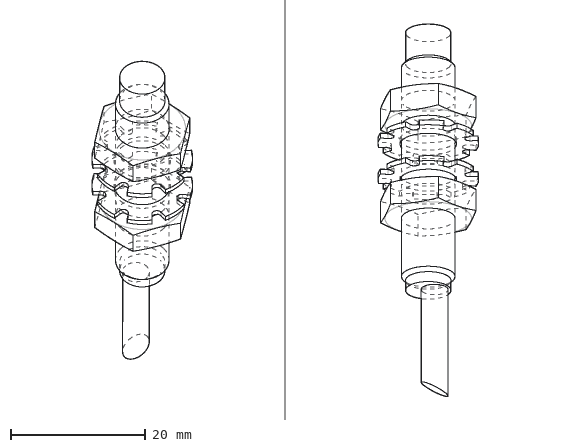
import cadquery as cq
import math

BARREL_DIAMETER = 8.0
END_DIAMETER = 6.77
NOSE_LENGTH = 5.0
TAIL_LENGTH = 1.6
SENSOR_LENGTH = 41.6
CABLE_DIAMETER = 4.0
CABLE_OFFSET = 1.0
CABLE_LENGTH = 17.25
CABLE_CUT_ANGLE = 30.0

NUT_ACROSS_FLATS = 13.0
NUT_TURN_ANGLE = 30.0
NUT_HEIGHT = 4.0
NUT_FACE_DIAMETER = 12.9
NUT_CHAMFER_ANGLE = 15.0
NUT_BOTTOMS = (11.6, 26.6)

WASHER_DIAMETER = 15.0
WASHER_BORE = 8.4
WASHER_THICKNESS = 0.8
NOTCH_COUNT = 8
NOTCH_DEPTH = 1.7
NOTCH_BOTTOM_DIAMETER = 1.5
NOTCH_TAPER_ANGLE = 17.3
WASHER_BOTTOMS = (17.8, 23.6)


def make_sensor():
    """Turned housing and its cable as one solid, with the tail end at Z = 0."""
    barrel_radius = BARREL_DIAMETER / 2
    end_radius = END_DIAMETER / 2
    bevel = barrel_radius - end_radius
    nose_bottom = SENSOR_LENGTH - NOSE_LENGTH
    housing = (
        cq.Workplane("XZ")
        .moveTo(0, 0)
        .lineTo(end_radius, 0)
        .lineTo(end_radius, TAIL_LENGTH)
        .lineTo(barrel_radius, TAIL_LENGTH + bevel)
        .lineTo(barrel_radius, nose_bottom - bevel)
        .lineTo(end_radius, nose_bottom)
        .lineTo(end_radius, SENSOR_LENGTH)
        .lineTo(0, SENSOR_LENGTH)
        .close()
        .revolve(360, (0, 0, 0), (0, 1, 0))
    )
    return housing.union(make_cable())


def make_cable():
    """Round cable whose free end is cut on a slant, lowest on its -Y side."""
    cable_radius = CABLE_DIAMETER / 2
    front_y = -CABLE_OFFSET - cable_radius
    back_y = -CABLE_OFFSET + cable_radius
    cut_rise = CABLE_DIAMETER * math.tan(math.radians(CABLE_CUT_ANGLE))
    cable = cq.Workplane("XY").center(0, -CABLE_OFFSET).circle(cable_radius).extrude(-CABLE_LENGTH)
    end_wedge = (
        cq.Workplane("YZ")
        .moveTo(front_y, -CABLE_LENGTH)
        .lineTo(back_y, -CABLE_LENGTH)
        .lineTo(back_y, -CABLE_LENGTH + cut_rise)
        .close()
        .extrude(cable_radius, both=True)
    )
    return cable.cut(end_wedge)


def make_nut(bottom):
    """Hexagon nut with flats facing +X and -X and both ends chamfered at the corners."""
    corner_radius = NUT_ACROSS_FLATS / math.sqrt(3)
    face_radius = NUT_FACE_DIAMETER / 2
    chamfer_drop = (corner_radius - face_radius) * math.tan(math.radians(NUT_CHAMFER_ANGLE))
    hexagon = (
        cq.Workplane("XY")
        .polygon(6, 2 * corner_radius)
        .extrude(NUT_HEIGHT)
        .rotate((0, 0, 0), (0, 0, 1), NUT_TURN_ANGLE)
    )
    chamfered_envelope = (
        cq.Workplane("XZ")
        .moveTo(0, 0)
        .lineTo(face_radius, 0)
        .lineTo(corner_radius, chamfer_drop)
        .lineTo(corner_radius, NUT_HEIGHT - chamfer_drop)
        .lineTo(face_radius, NUT_HEIGHT)
        .lineTo(0, NUT_HEIGHT)
        .close()
        .revolve(360, (0, 0, 0), (0, 1, 0))
    )
    bore = cq.Workplane("XY").circle(BARREL_DIAMETER / 2).extrude(NUT_HEIGHT)
    return hexagon.intersect(chamfered_envelope).cut(bore).translate((0, 0, bottom))


def make_notch(washer_radius):
    """Cutter for a notch on +X whose straight walls narrow inwards to a tangent round bottom."""
    taper = math.radians(NOTCH_TAPER_ANGLE)
    bottom_radius = NOTCH_BOTTOM_DIAMETER / 2
    arc_center_x = washer_radius - NOTCH_DEPTH + bottom_radius
    wall_x = arc_center_x - bottom_radius * math.sin(taper)
    wall_y = bottom_radius * math.cos(taper)
    mouth_x = washer_radius + bottom_radius
    mouth_y = wall_y + (mouth_x - wall_x) * math.tan(taper)
    return (
        cq.Workplane("XY")
        .moveTo(mouth_x, mouth_y)
        .lineTo(wall_x, wall_y)
        .threePointArc((washer_radius - NOTCH_DEPTH, 0), (wall_x, -wall_y))
        .lineTo(mouth_x, -mouth_y)
        .close()
        .extrude(WASHER_THICKNESS)
    )


def make_washer(bottom):
    """Flat ring with tapered, round-bottomed notches evenly spaced around its rim."""
    washer_radius = WASHER_DIAMETER / 2
    ring = cq.Workplane("XY").circle(washer_radius).circle(WASHER_BORE / 2).extrude(WASHER_THICKNESS)
    notch = make_notch(washer_radius)
    for index in range(NOTCH_COUNT):
        ring = ring.cut(notch.rotate((0, 0, 0), (0, 0, 1), index * 360 / NOTCH_COUNT))
    return ring.translate((0, 0, bottom))


sensor = make_sensor()
nuts = [make_nut(bottom) for bottom in NUT_BOTTOMS]
washers = [make_washer(bottom) for bottom in WASHER_BOTTOMS]

result = cq.Compound.makeCompound(
    [sensor.val()] + [nut.val() for nut in nuts] + [washer.val() for washer in washers]
)